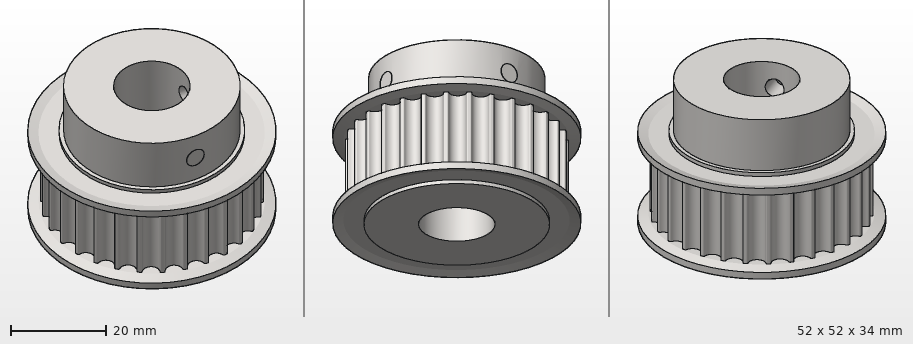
import cadquery as cq
import math

TOOTH_COUNT = 30
TIP_RADIUS = 23.35
TOOTH_WIDTH = 17.0
GROOVE_RADIUS = 1.9
GROOVE_DEPTH = 1.95
TIP_ROUNDING = 0.3

CORE_LENGTH = 22.0
TOTAL_HEIGHT = 34.0
COLLAR_RADIUS = 19.45
HUB_RADIUS = 18.5
BORE_RADIUS = 8.0
TEETH_BOTTOM = (CORE_LENGTH - TOOTH_WIDTH) / 2
TEETH_TOP = TEETH_BOTTOM + TOOTH_WIDTH

FLANGE_RADIUS = 26.0
FLANGE_BEND_RADIUS = 23.7
FLANGE_THICKNESS = 1.6
RIM_ANGLE = math.radians(15)
RIM_RISE = (FLANGE_RADIUS - FLANGE_BEND_RADIUS) * math.tan(RIM_ANGLE)

SCREW_DIAMETER = 4.2
SCREW_LENGTH = 5.0
SCREW_HEIGHT = (CORE_LENGTH + TOTAL_HEIGHT) / 2
SCREW_ANGLES = (0, 90)


def cylinder(radius, bottom, top):
    return cq.Workplane("XY").workplane(offset=bottom).circle(radius).extrude(top - bottom)


def toothed_section():
    """Cylinder with round belt grooves and rounded tips, one tooth centred on +X."""
    groove_centre = TIP_RADIUS - GROOVE_DEPTH + GROOVE_RADIUS
    pitch_angle = 360 / TOOTH_COUNT
    grooves = (
        cq.Workplane("XY")
        .workplane(offset=TEETH_BOTTOM)
        .polarArray(groove_centre, pitch_angle / 2, 360, TOOTH_COUNT)
        .circle(GROOVE_RADIUS)
        .extrude(TOOTH_WIDTH)
    )
    toothed = cylinder(TIP_RADIUS, TEETH_BOTTOM, TEETH_TOP).cut(grooves)
    return toothed.edges("|Z").fillet(TIP_ROUNDING)


def radial_rod(angle, inner_end, outer_end):
    """Rod of the set screw diameter, pointing outward from the bore axis at the given angle."""
    return (
        cq.Workplane("YZ")
        .workplane(offset=inner_end)
        .center(0, SCREW_HEIGHT)
        .circle(SCREW_DIAMETER / 2)
        .extrude(outer_end - inner_end)
        .rotate((0, 0, 0), (0, 0, 1), angle)
    )


def make_pulley():
    pulley = (
        toothed_section()
        .union(cylinder(COLLAR_RADIUS, 0, CORE_LENGTH))
        .union(cylinder(HUB_RADIUS, CORE_LENGTH, TOTAL_HEIGHT))
        .cut(cylinder(BORE_RADIUS, 0, TOTAL_HEIGHT))
    )
    for angle in SCREW_ANGLES:
        pulley = pulley.cut(radial_rod(angle, 0, HUB_RADIUS))
    return pulley


def make_flange(inner_face, outward):
    """Ring lying on the teeth at inner_face; outward is +1 for upward, -1 for downward."""
    outer_face = inner_face + outward * FLANGE_THICKNESS
    rise = outward * RIM_RISE
    return (
        cq.Workplane("XZ")
        .moveTo(COLLAR_RADIUS, inner_face)
        .lineTo(FLANGE_BEND_RADIUS, inner_face)
        .lineTo(FLANGE_RADIUS, inner_face + rise)
        .lineTo(FLANGE_RADIUS, outer_face + rise)
        .lineTo(FLANGE_BEND_RADIUS, outer_face)
        .lineTo(COLLAR_RADIUS, outer_face)
        .close()
        .revolve(360, (0, 0, 0), (0, 1, 0))
    )


def make_set_screw(angle):
    return radial_rod(angle, HUB_RADIUS - SCREW_LENGTH, HUB_RADIUS)


pulley = make_pulley()
flanges = [make_flange(TEETH_BOTTOM, -1), make_flange(TEETH_TOP, 1)]
set_screws = [make_set_screw(angle) for angle in SCREW_ANGLES]

result = cq.Compound.makeCompound([
    pulley.val(),
    *[flange.val() for flange in flanges],
    *[screw.val() for screw in set_screws],
])